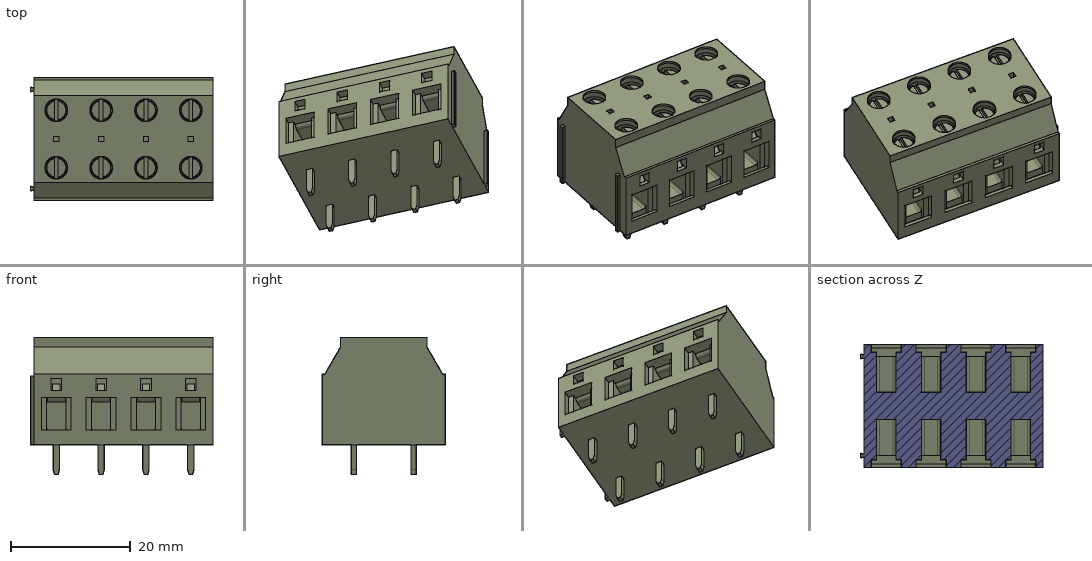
import cadquery as cq

POLES = 4
PITCH = 7.5
LENGTH = POLES * PITCH
DEPTH = 20.6
HEIGHT = 18.0
SHOULDER_HEIGHT = 11.85
SHOULDER_LEDGE = 0.45
SLOPE_TOP_HEIGHT = 16.35
TOP_INSET = 3.05
POLE_CENTRES = [(pole + 0.5) * PITCH for pole in range(POLES)]
FRONT = -DEPTH / 2

RAIL_OFFSET = 8.3
RAIL_HEIGHT = 11.55
RAIL_REACH = 0.6
RAIL_FACE_WIDTH = 0.58
RAIL_MAX_WIDTH = 0.82
RAIL_MAX_REACH = 0.52
RAIL_NECK_WIDTH = 0.6
RAIL_NECK_REACH = 0.15

PIN_OFFSET = 5.0
PIN_LENGTH = 5.0
PIN_WIDTH = 1.1
PIN_THICKNESS = 0.9
PIN_TIP_WIDTH = 0.6
PIN_TIP_LENGTH = 0.85

SCREW_OFFSET = 4.8
WELL_DIAMETER = 3.8
BEAD_DIAMETER = 3.6
BEAD_TOP_DEPTH = 0.38
BEAD_BOTTOM_DEPTH = 1.28
SCREW_TOP_DIAMETER = 3.2
SCREW_TOP_DEPTH = 1.55
SCREW_BEVEL = (WELL_DIAMETER - SCREW_TOP_DIAMETER) / 2
SLOT_WIDTH = 0.65
SLOT_DEPTH = 0.8

TEST_HOLE_SIZE = 0.9
TEST_HOLE_DEPTH = 2.0

ENTRY_WIDTH = 5.0
ENTRY_BOTTOM = 2.5
ENTRY_TOP = 7.9
LIP_THICKNESS = 0.58
GUIDE_DEPTH = 1.3
SUMP_FLOOR = 0.8
CLAMP_DEPTH = 2.0
CLAMP_WIDTH = 3.2
CLAMP_BOTTOM = 2.35
CLAMP_CORNER_RADIUS = 0.5
CLAMP_END_DEPTH = 8.0
BAR_WIDTH = 3.0
BAR_HEIGHT = 0.7
BAR_EDGE_RADIUS = 0.65

LATCH_WIDTH = 1.8
LATCH_BOTTOM = 9.1
LATCH_TOP = 11.1
LATCH_DEPTH = 1.55
WEDGE_WIDTH = 1.2
WEDGE_START = 0.7
WEDGE_HEIGHT = 1.05


def box(x_centre, width, y_start, y_end, z_bottom, z_top):
    """Block centred at x_centre, spanning the given Y and Z ranges."""
    return (
        cq.Workplane("XY")
        .box(width, y_end - y_start, z_top - z_bottom, centered=(True, False, False))
        .translate((x_centre, y_start, z_bottom))
    )


def extrude_along_x(points, x_centre, width):
    """Prism with a (y, z) outline, centred at x_centre."""
    prism = cq.Workplane("YZ").polyline(points).close().extrude(width / 2, both=True)
    return prism.translate((x_centre, 0, 0))


def both_sides(shape):
    """The shape together with its mirror image across the XZ plane."""
    return shape.union(shape.mirror("XZ"))


def housing():
    half = DEPTH / 2
    right_side = [
        (half, 0),
        (half, SHOULDER_HEIGHT),
        (half - SHOULDER_LEDGE, SHOULDER_HEIGHT),
        (half - TOP_INSET, SLOPE_TOP_HEIGHT),
        (half - TOP_INSET, HEIGHT),
    ]
    left_side = [(-y, z) for y, z in reversed(right_side)]
    return extrude_along_x(right_side + left_side, LENGTH / 2, LENGTH)


def rail():
    """Dovetail rail on the front half of the -X end, with its outer edges bevelled."""
    front_outline = [
        (0, -RAIL_NECK_WIDTH / 2),
        (-RAIL_NECK_REACH, -RAIL_NECK_WIDTH / 2),
        (-RAIL_MAX_REACH, -RAIL_MAX_WIDTH / 2),
        (-RAIL_REACH, -RAIL_FACE_WIDTH / 2),
    ]
    back_outline = [(x, -y) for x, y in reversed(front_outline)]
    return (
        cq.Workplane("XY")
        .polyline(front_outline + back_outline)
        .close()
        .extrude(RAIL_HEIGHT)
        .translate((0, -RAIL_OFFSET, 0))
    )


def pin(x_centre):
    """Flat pin whose tip tapers in width."""
    taper_z = -PIN_LENGTH + PIN_TIP_LENGTH
    outline = [
        (-PIN_WIDTH / 2, 0),
        (-PIN_WIDTH / 2, taper_z),
        (-PIN_TIP_WIDTH / 2, -PIN_LENGTH),
        (PIN_TIP_WIDTH / 2, -PIN_LENGTH),
        (PIN_WIDTH / 2, taper_z),
        (PIN_WIDTH / 2, 0),
    ]
    return (
        cq.Workplane("XZ")
        .polyline(outline)
        .close()
        .extrude(PIN_THICKNESS / 2, both=True)
        .translate((x_centre, -PIN_OFFSET, 0))
    )


def screw_well(x_centre):
    """Space above a screw: the round well, the bevel around the head and the driver slot."""
    well_radius = WELL_DIAMETER / 2
    head_z = HEIGHT - SCREW_TOP_DEPTH
    bead_top_z = HEIGHT - BEAD_TOP_DEPTH
    bead_bottom_z = HEIGHT - BEAD_BOTTOM_DEPTH
    bead_mid_z = (bead_top_z + bead_bottom_z) / 2
    well = (
        cq.Workplane("XZ")
        .moveTo(0, HEIGHT)
        .lineTo(well_radius, HEIGHT)
        .lineTo(well_radius, bead_top_z)
        .threePointArc((BEAD_DIAMETER / 2, bead_mid_z), (well_radius, bead_bottom_z))
        .lineTo(well_radius, head_z - SCREW_BEVEL)
        .lineTo(SCREW_TOP_DIAMETER / 2, head_z)
        .lineTo(0, head_z)
        .close()
        .revolve(360, (0, 0, 0), (0, 1, 0))
    )
    slot_bottom_z = head_z - SLOT_DEPTH
    slot = (
        box(0, SLOT_WIDTH, -well_radius, well_radius, slot_bottom_z, head_z)
        .intersect(cq.Workplane("XY").circle(well_radius).extrude(HEIGHT))
    )
    return well.union(slot).translate((x_centre, -SCREW_OFFSET, 0))


def test_hole(x_centre):
    half = TEST_HOLE_SIZE / 2
    return box(x_centre, TEST_HOLE_SIZE, -half, half, HEIGHT - TEST_HOLE_DEPTH, HEIGHT)


def wire_entry(x_centre):
    """Window with a thin sill, a lower sump behind it and the clamp opening at the back."""
    guide_y = FRONT + GUIDE_DEPTH
    clamp_y = FRONT + CLAMP_DEPTH
    clamp_end_y = FRONT + CLAMP_END_DEPTH
    window = box(x_centre, ENTRY_WIDTH, FRONT, guide_y, ENTRY_BOTTOM, ENTRY_TOP)
    sump = box(x_centre, ENTRY_WIDTH, FRONT + LIP_THICKNESS, guide_y, SUMP_FLOOR, ENTRY_TOP)
    guide_gap = box(x_centre, CLAMP_WIDTH, guide_y, clamp_y, SUMP_FLOOR, ENTRY_TOP)
    clamp = (
        box(x_centre, CLAMP_WIDTH, clamp_y, clamp_end_y, CLAMP_BOTTOM, ENTRY_TOP)
        .edges("|Y and <Z")
        .fillet(CLAMP_CORNER_RADIUS)
    )
    bar = (
        box(x_centre, BAR_WIDTH, clamp_y, clamp_end_y, ENTRY_TOP - BAR_HEIGHT, ENTRY_TOP)
        .edges("|X and <Y and <Z")
        .fillet(BAR_EDGE_RADIUS)
    )
    return window.union(sump).union(guide_gap).union(clamp.cut(bar))


def latch_window(x_centre):
    """Rectangular pocket with a ramp rising from its floor to its back wall."""
    back_y = FRONT + LATCH_DEPTH
    pocket = box(x_centre, LATCH_WIDTH, FRONT, back_y, LATCH_BOTTOM, LATCH_TOP)
    ramp = [
        (FRONT + WEDGE_START, LATCH_BOTTOM),
        (back_y, LATCH_BOTTOM),
        (back_y, LATCH_BOTTOM + WEDGE_HEIGHT),
    ]
    return pocket.cut(extrude_along_x(ramp, x_centre, WEDGE_WIDTH))


result = housing().union(both_sides(rail()))
for pole_x in POLE_CENTRES:
    result = result.union(both_sides(pin(pole_x)))
    for cavity in (screw_well(pole_x), wire_entry(pole_x), latch_window(pole_x)):
        result = result.cut(both_sides(cavity))
    result = result.cut(test_hole(pole_x))